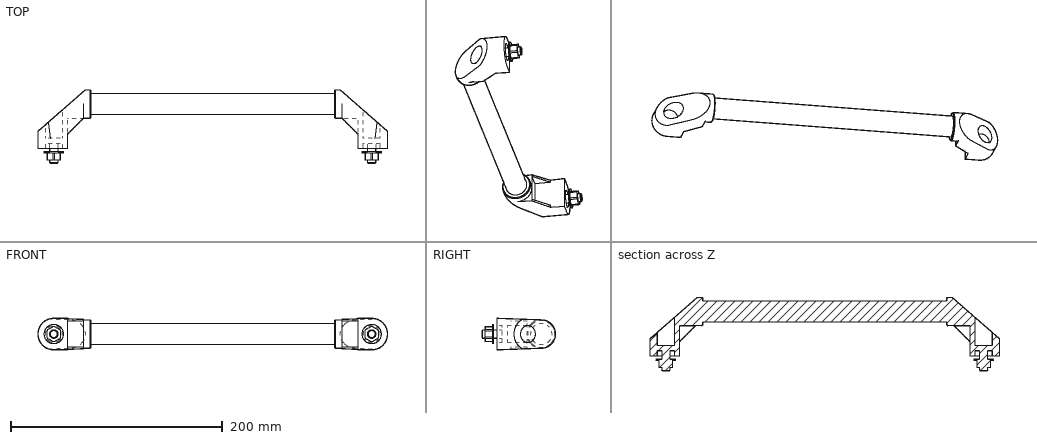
import cadquery as cq

TOTAL_LENGTH = 330.0
BAR_DIAMETER = 20.0
BAR_HEIGHT = 42.0

FOOT_THICKNESS = 30.0
FOOT_LENGTH = 28.0
FOOT_INNER_HEIGHT = 13.5
FOOT_OUTER_HEIGHT = 16.3
COLLAR_DIAMETER = 27.0
COLLAR_START = 43.0
COLLAR_END = 50.0
COLLAR_CHAMFER = 0.8
SLOPE_END = 44.8
POCKET_WIDTH = 24.5

STUD_DIAMETER = 8.0
STUD_LENGTH = 14.0
WASHER_DIAMETER = 18.2
WASHER_THICKNESS = 1.0
WASHER_GAP = 3.0
NUT_ACROSS_FLATS = 13.0
NUT_THICKNESS = 7.0
NUT_CORNER_DIAMETER = 14.2
STUD_CHAMFER = 0.7

BORE_DIAMETER = 16.0
FOOT_RECESS_DEPTH = 5.0
COUNTERBORE_SEAT = 10.0

FOOT_RADIUS = FOOT_THICKNESS / 2
COLLAR_RADIUS = COLLAR_DIAMETER / 2
COLLAR_TOP = BAR_HEIGHT + COLLAR_RADIUS
COLLAR_BOTTOM = BAR_HEIGHT - COLLAR_RADIUS


def disc(diameter, start_y, length):
    """Cylinder on the stud axis, extending from start_y toward -Y."""
    return cq.Workplane("XZ", origin=(FOOT_RADIUS, start_y, 0)).circle(diameter / 2).extrude(length)


def make_arm():
    """Solid bracket: tapered in thickness, round at the foot and at the collar."""
    section = (
        cq.Workplane("YZ")
        .moveTo(0, -FOOT_RADIUS)
        .lineTo(BAR_HEIGHT, -COLLAR_RADIUS)
        .threePointArc((COLLAR_TOP, 0), (BAR_HEIGHT, COLLAR_RADIUS))
        .lineTo(0, FOOT_RADIUS)
        .close()
        .extrude(COLLAR_START)
    )
    rounded_end = disc(FOOT_THICKNESS, COLLAR_TOP, COLLAR_TOP)
    straight_part = (
        cq.Workplane("XY", origin=(FOOT_RADIUS, 0, 0))
        .box(COLLAR_START - FOOT_RADIUS, COLLAR_TOP, FOOT_THICKNESS, centered=(False, False, True))
    )
    collar = (
        cq.Workplane("YZ", origin=(COLLAR_START, BAR_HEIGHT, 0))
        .circle(COLLAR_RADIUS)
        .extrude(COLLAR_END - COLLAR_START)
        .faces(">X")
        .chamfer(COLLAR_CHAMFER)
    )
    outline = (
        cq.Workplane("XY")
        .polyline([
            (0, 0),
            (FOOT_LENGTH, 0),
            (FOOT_LENGTH, FOOT_INNER_HEIGHT),
            (COLLAR_START, COLLAR_BOTTOM),
            (COLLAR_END, COLLAR_BOTTOM),
            (COLLAR_END, COLLAR_TOP),
            (SLOPE_END, COLLAR_TOP),
            (0, FOOT_OUTER_HEIGHT),
        ])
        .close()
        .extrude(FOOT_RADIUS, both=True)
    )
    return section.intersect(rounded_end.union(straight_part)).union(collar).intersect(outline)


def make_pocket():
    """Triangular recess between the side webs, in the inner corner of the bracket."""
    return (
        cq.Workplane("XY")
        .polyline([
            (FOOT_LENGTH, FOOT_INNER_HEIGHT),
            (COLLAR_START, COLLAR_BOTTOM),
            (FOOT_LENGTH, COLLAR_BOTTOM),
        ])
        .close()
        .extrude(POCKET_WIDTH / 2, both=True)
    )


def make_hardware():
    """Stud, rooted in the floor of the foot recess, with washer and hexagon nut."""
    stud = disc(STUD_DIAMETER, FOOT_RECESS_DEPTH, FOOT_RECESS_DEPTH + STUD_LENGTH)
    stud = stud.faces("<Y").chamfer(STUD_CHAMFER)
    washer = disc(WASHER_DIAMETER, -WASHER_GAP, WASHER_THICKNESS)
    nut = (
        cq.Workplane("XZ", origin=(FOOT_RADIUS, -WASHER_GAP - WASHER_THICKNESS, 0))
        .polygon(6, NUT_ACROSS_FLATS, circumscribed=True)
        .extrude(NUT_THICKNESS)
        .intersect(disc(NUT_CORNER_DIAMETER, 0, STUD_LENGTH))
    )
    return stud.union(washer).union(nut)


def make_bracket():
    """Left-hand bracket, placed at the -X end of the handle."""
    counterbore = disc(BORE_DIAMETER, COLLAR_TOP, COLLAR_TOP - COUNTERBORE_SEAT)
    foot_recess = disc(BORE_DIAMETER, FOOT_RECESS_DEPTH, FOOT_RECESS_DEPTH)
    bracket = make_arm().cut(make_pocket()).cut(counterbore).cut(foot_recess).union(make_hardware())
    return bracket.translate((-TOTAL_LENGTH / 2, 0, 0))


def make_bar():
    """Round bar between the two collars."""
    bar_length = TOTAL_LENGTH - 2 * COLLAR_END
    return (
        cq.Workplane("YZ", origin=(-bar_length / 2, BAR_HEIGHT, 0))
        .circle(BAR_DIAMETER / 2)
        .extrude(bar_length)
    )


left_bracket = make_bracket()
right_bracket = left_bracket.mirror("YZ")
result = make_bar().union(left_bracket).union(right_bracket)